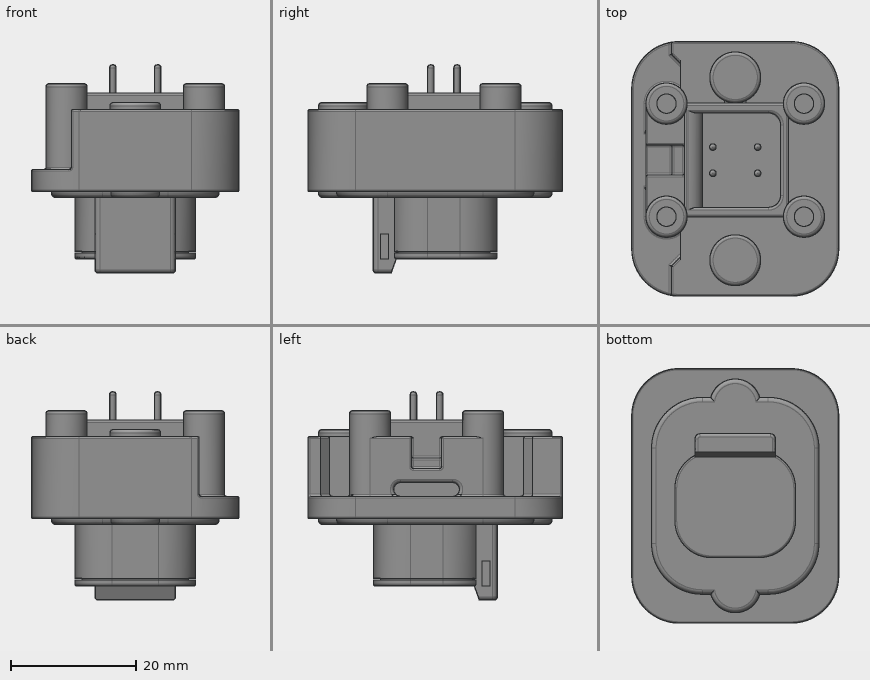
import cadquery as cq
BODY_X, BODY_Y, BODY_TOP = 33.1, 40.65, 13.1
BODY_CORNER = 7.6
FLANGE_TOP = 3.55
EDGE_ROUND = 0.3
BOTTOM_ROUND = 0.2
FOOT_ROUND = 0.4

WALL_X, WALL_END_X = -8.8, -10.2
WALL_JOG_Y = 16.9

CENTER_Y = 1.4
POST_X, POST_Y = 10.98, 9.03
POST_R, POST_TOP, POST_ROUND = 3.3, 17.25, 0.53
POST_HOLE_R, POST_HOLE_DEPTH = 1.55, 0.98

BRIDGE_FACE_X = -POST_X - POST_R
NOTCH_WIDTH, NOTCH_FLOOR, NOTCH_STEP_Z, NOTCH_STEP_X = 4.8, 7.95, 9.65, -10.1
NOTCH_ROUND = 0.33
WINDOW_SPAN, WINDOW_R, WINDOW_ROUND = 8.3, 1.1, 0.53

FRAME_LEFT, FRAME_RIGHT = -8.15, 8.55
FRAME_Y, FRAME_TOP = 9.1, 15.75
RECESS_FLOOR = 13.38
RECESS_X, RECESS_Y, RECESS_CORNER = 7.25, 7.52, 1.9
RAMP_START_X = -7.55
FRAME_ROUND = 0.35
RIM_ROUND = 0.45

PIN_R, PIN_TOP, PIN_X, PIN_Y = 0.53, 20.25, 3.58, 2.095
PIN_ROUND = 0.5

PAD_R, PAD_Y, PAD_TOP, PAD_ROUND = 4.05, 14.6, 14.2, 0.53
PAD_WEB_WIDTH = 3.45

BASE_X, BASE_Y, BASE_CORNER = 13.38, 15.75, 8.15
BASE_DEPTH, BASE_ROUND = 0.98, 0.75

PLUG_X, PLUG_Y, PLUG_CORNER, PLUG_BOTTOM = 9.65, 8.5, 5.9, -10.77
GROOVE_TOP, GROOVE_HEIGHT, GROOVE_DEPTH = -9.55, 0.25, 1.1
PLUG_ROUND = 0.3

KEY_X, KEY_FRONT_Y, KEY_BOTTOM = 6.42, -9.92, -13.0
KEY_TAPER_Z, KEY_TIP_Y = -10.77, -7.05
KEY_ROOT_DEPTH = 0.9
KEY_CORNER, KEY_ROUND = 0.8, 0.5
KEY_POCKET_Y, KEY_POCKET_WIDTH = -8.15, 1.3
KEY_POCKET_Z, KEY_POCKET_HEIGHT, KEY_POCKET_DEPTH = -8.8, 4.03, 0.4

OVERLAP = 0.4


def block(x_min, x_max, y_min, y_max, z_min, z_max):
    size = (x_max - x_min, y_max - y_min, z_max - z_min)
    return cq.Workplane("XY").box(*size, centered=False).translate((x_min, y_min, z_min))


def edges_between(low_corner, high_corner):
    """Selector for the edges whose centre lies inside the given box."""
    return cq.selectors.BoxSelector(low_corner, high_corner)


def rounded_block(half_x, half_y, corner, z_min, z_max, center_y=0.0):
    solid = block(-half_x, half_x, center_y - half_y, center_y + half_y, z_min, z_max)
    return solid.edges("|Z").fillet(corner)


def cylinder(x, y, radius, z_min, z_max):
    return cq.Workplane("XY", origin=(x, y, z_min)).circle(radius).extrude(z_max - z_min)


def make_body():
    body = rounded_block(BODY_X / 2, BODY_Y / 2, BODY_CORNER, 0, BODY_TOP)
    body = body.faces("<Z").edges().fillet(BOTTOM_ROUND)
    jog_outer, jog_inner = WALL_JOG_Y, WALL_JOG_Y - (WALL_X - WALL_END_X)
    ledge_outline = [
        (-BODY_X, CENTER_Y - BODY_Y),
        (WALL_END_X, CENTER_Y - BODY_Y),
        (WALL_END_X, CENTER_Y - jog_outer),
        (WALL_X, CENTER_Y - jog_inner),
        (WALL_X, CENTER_Y + jog_inner),
        (WALL_END_X, CENTER_Y + jog_outer),
        (WALL_END_X, CENTER_Y + BODY_Y),
        (-BODY_X, CENTER_Y + BODY_Y),
    ]
    ledge = cq.Workplane("XY").workplane(offset=FLANGE_TOP).polyline(ledge_outline).close()
    body = body.cut(ledge.extrude(BODY_TOP))

    body = body.edges(edges_between(
        (WALL_END_X - 0.05, -BODY_Y, FLANGE_TOP - 0.05),
        (WALL_X - 0.05, BODY_Y, FLANGE_TOP + 0.05),
    )).fillet(FOOT_ROUND)
    flange_rim = edges_between(
        (-BODY_X, -BODY_Y, FLANGE_TOP - 0.05),
        (WALL_END_X - FOOT_ROUND - 0.05, BODY_Y, FLANGE_TOP + 0.05),
    )
    long_wall_top = edges_between((WALL_X - 0.05, -BODY_Y, BODY_TOP - 0.05), (WALL_X + 0.05, BODY_Y, BODY_TOP + 0.05))
    body_rim = edges_between((-BODY_X, -BODY_Y, BODY_TOP - 0.05), (BODY_X, BODY_Y, BODY_TOP + 0.05))
    body = body.edges(flange_rim).fillet(EDGE_ROUND)
    return body.edges(body_rim - long_wall_top).fillet(EDGE_ROUND)


def make_post(x, y, z_min):
    return cylinder(x, y, POST_R, z_min, POST_TOP).faces(">Z").edges().fillet(POST_ROUND)


def make_bridge():
    """Block joining the two -X posts."""
    y_min, y_max = CENTER_Y - POST_Y, CENTER_Y + POST_Y
    bridge = block(BRIDGE_FACE_X, FRAME_LEFT + OVERLAP, y_min, y_max, FLANGE_TOP, BODY_TOP)
    return bridge.edges("<X and >Z").fillet(EDGE_ROUND)


def make_window():
    """Obround opening at the foot of the bridge, with a rounded mouth, as a solid to cut away."""
    mouth_plane = cq.Workplane("YZ", origin=(BRIDGE_FACE_X, CENTER_Y, FLANGE_TOP + WINDOW_R))
    length, width = WINDOW_SPAN + 2 * WINDOW_R, 2 * WINDOW_R
    depth = WALL_X - BRIDGE_FACE_X
    mouth_margin = 4 * WINDOW_ROUND

    blank = mouth_plane.rect(length + mouth_margin, width + mouth_margin).extrude(depth)
    frame = blank.cut(mouth_plane.slot2D(length, width).extrude(depth))
    frame = frame.faces("<X").edges("not(<Y or >Y or <Z or >Z)").fillet(WINDOW_ROUND)
    window = blank.cut(frame).union(mouth_plane.slot2D(length, width).extrude(-2 * EDGE_ROUND))
    return window.cut(block(-BODY_X, BODY_X, -BODY_Y, BODY_Y, 0, FLANGE_TOP))


def cut_notch(housing):
    """Stepped notch through the bridge, running up to the frame."""
    y_min, y_max = CENTER_Y - NOTCH_WIDTH / 2, CENTER_Y + NOTCH_WIDTH / 2
    notch = block(-BODY_X, NOTCH_STEP_X, y_min, y_max, NOTCH_FLOOR, FRAME_TOP)
    notch = notch.union(block(-BODY_X, FRAME_LEFT, y_min, y_max, NOTCH_STEP_Z, FRAME_TOP)).clean()
    housing = housing.cut(notch.edges("not(<X or >Z)").fillet(NOTCH_ROUND))
    top_rims = edges_between(
        (-BODY_X, y_min - 0.05, BODY_TOP - 0.05),
        (FRAME_LEFT - 0.05, y_max + 0.05, BODY_TOP + 0.05),
    )
    return housing.edges(top_rims).fillet(EDGE_ROUND)


def add_foot_round(housing):
    """Round the corner between the flange and the -X posts with their bridge."""
    reach = BRIDGE_FACE_X - 0.05
    posts_foot = edges_between(
        (reach, -POST_Y - POST_R, FLANGE_TOP - 0.05),
        (WALL_X - 1.63, CENTER_Y + POST_Y + POST_R + OVERLAP, FLANGE_TOP + 0.05),
    )
    return housing.edges(posts_foot).fillet(EDGE_ROUND)


def make_frame():
    y_min, y_max = CENTER_Y - FRAME_Y, CENTER_Y + FRAME_Y
    frame = block(FRAME_LEFT, FRAME_RIGHT, y_min, y_max, NOTCH_FLOOR, FRAME_TOP)
    frame = frame.faces(">Z").edges().fillet(FRAME_ROUND)

    depth = FRAME_TOP - RECESS_FLOOR
    y_min, y_max = CENTER_Y - RECESS_Y, CENTER_Y + RECESS_Y
    recess = block(RAMP_START_X, RECESS_X, y_min, y_max, RECESS_FLOOR, FRAME_TOP)
    recess = recess.edges("|Z and >X").fillet(RECESS_CORNER)
    frame = frame.cut(recess)
    rim = edges_between(
        (RAMP_START_X + 0.05, y_min - 0.05, FRAME_TOP - 0.05),
        (RECESS_X + 0.05, y_max + 0.05, FRAME_TOP + 0.05),
    )
    frame = frame.edges(rim).fillet(RIM_ROUND)

    ramp = cylinder(0, 0, depth, -RECESS_Y - RIM_ROUND, RECESS_Y + RIM_ROUND)
    ramp = ramp.rotate((0, 0, 0), (1, 0, 0), 90).translate((RAMP_START_X, CENTER_Y, RECESS_FLOOR))
    quarter = block(RAMP_START_X, RECESS_X, -BODY_Y, BODY_Y, RECESS_FLOOR, FRAME_TOP)
    return frame.union(ramp.intersect(quarter))


def make_pin(x, y):
    return cylinder(x, y, PIN_R, RECESS_FLOOR - OVERLAP, PIN_TOP).faces(">Z").edges().fillet(PIN_ROUND)


def make_pad(y):
    return cylinder(0, y, PAD_R, BODY_TOP - OVERLAP, PAD_TOP).faces(">Z").edges().fillet(PAD_ROUND)


def make_pad_web():
    """Short web between the +Y pad and the frame."""
    half = PAD_WEB_WIDTH / 2
    return block(-half, half, CENTER_Y + FRAME_Y - OVERLAP, PAD_Y - PAD_R + OVERLAP, BODY_TOP - OVERLAP,
                 PAD_TOP - PAD_ROUND)


def make_base():
    base = rounded_block(BASE_X, BASE_Y, BASE_CORNER, -BASE_DEPTH, OVERLAP)
    for side in (-1, 1):
        base = base.union(cylinder(0, side * PAD_Y, PAD_R, -BASE_DEPTH, OVERLAP))
    return base.faces("<Z").edges().fillet(BASE_ROUND)


def make_plug():
    plug = rounded_block(PLUG_X, PLUG_Y, PLUG_CORNER, PLUG_BOTTOM, 0, CENTER_Y)
    plug = plug.faces("<Z").edges().fillet(PLUG_ROUND)
    groove_bottom = GROOVE_TOP - GROOVE_HEIGHT
    groove = block(-BODY_X, BODY_X, -BODY_Y, BODY_Y, groove_bottom, GROOVE_TOP)
    core = rounded_block(
        PLUG_X - GROOVE_DEPTH, PLUG_Y - GROOVE_DEPTH, PLUG_CORNER - GROOVE_DEPTH,
        groove_bottom, GROOVE_TOP, CENTER_Y,
    )
    return plug.cut(groove.cut(core))


def make_key():
    root_y = CENTER_Y - PLUG_Y + KEY_ROOT_DEPTH
    profile = [
        (KEY_FRONT_Y, 0),
        (KEY_FRONT_Y, KEY_BOTTOM),
        (KEY_TIP_Y, KEY_BOTTOM),
        (root_y, KEY_TAPER_Z),
        (root_y, 0),
    ]
    key = cq.Workplane("YZ", origin=(-KEY_X, 0, 0)).polyline(profile).close().extrude(2 * KEY_X)
    key = key.edges("|Z and <Y").fillet(KEY_CORNER)
    key = key.faces("<Z").edges("<Y or <X or >X").fillet(KEY_ROUND)
    pocket = cq.Workplane("XY").box(2 * KEY_POCKET_DEPTH, KEY_POCKET_WIDTH, KEY_POCKET_HEIGHT)
    for side in (-1, 1):
        key = key.cut(pocket.translate((side * KEY_X, KEY_POCKET_Y, KEY_POCKET_Z)))
    return key


post_places = [(x, CENTER_Y + side * POST_Y) for x in (-POST_X, POST_X) for side in (-1, 1)]

result = cut_notch(make_body().union(make_bridge()))
for x, y in post_places:
    result = result.union(make_post(x, y, FLANGE_TOP))
result = add_foot_round(result).cut(make_window())
result = result.union(make_frame()).union(make_pad_web()).union(make_base())
for side in (-1, 1):
    result = result.union(make_pad(side * PAD_Y))
    for x in (-PIN_X, PIN_X):
        result = result.union(make_pin(x, CENTER_Y + side * PIN_Y))
result = result.union(make_plug()).union(make_key())

for x, y in post_places:
    result = result.cut(cylinder(x, y, POST_HOLE_R, POST_TOP - POST_HOLE_DEPTH, POST_TOP))